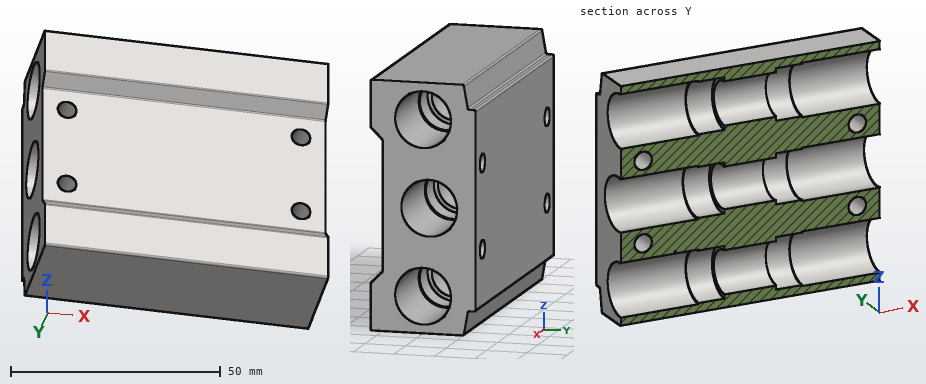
import cadquery as cq
import math

length = 69.0
depth = 26.0
height = 61.0
corner_radius = 0.5

recess_depth = 3.0
recess_floor_height = 32.0

rebate_height = 6.0
rebate_top_depth = 3.0
rebate_angle = 10.0

mouth_diameter = 13.8
mouth_depth = 20.7
seat_diameter = 13.25
seat_depth = 27.6
through_diameter = 11.2
outer_bore_z = 21.45
middle_bore_y = 1.5

cross_diameter = 4.5
cross_spacing_x = 57.0
cross_spacing_z = 21.0

front_y = -depth / 2
back_y = depth / 2
top_z = height / 2
floor_y = front_y + recess_depth
floor_z = recess_floor_height / 2
lip_z = floor_z + recess_depth
rebate_z = top_z - rebate_height
rebate_bottom_depth = rebate_top_depth - rebate_height * math.tan(math.radians(rebate_angle))


def make_block():
    """Extrude the YZ outline, symmetric about Z = 0, and round its long edges."""
    upper_half = [
        (floor_y, floor_z),
        (front_y, lip_z),
        (front_y, top_z),
        (back_y - rebate_top_depth, top_z),
        (back_y - rebate_bottom_depth, rebate_z),
        (back_y, rebate_z),
    ]
    lower_half = [(y, -z) for y, z in reversed(upper_half)]
    block = cq.Workplane("YZ").polyline(upper_half + lower_half).close().extrude(length / 2, both=True)
    return block.edges("|X").fillet(corner_radius)


def make_bore(y, z):
    """Bore cutter that steps down from both end faces to a through hole."""
    bore = cq.Workplane("YZ").center(y, z).circle(through_diameter / 2).extrude(length / 2, both=True)
    for diameter, step_depth in ((mouth_diameter, mouth_depth), (seat_diameter, seat_depth)):
        for end_x in (-length / 2, length / 2 - step_depth):
            step = cq.Workplane("YZ", origin=(end_x, y, z)).circle(diameter / 2).extrude(step_depth)
            bore = bore.union(step)
    return bore


result = make_block()

for bore_y, bore_z in ((0, outer_bore_z), (middle_bore_y, 0), (0, -outer_bore_z)):
    result = result.cut(make_bore(bore_y, bore_z))

cross_holes = (
    cq.Workplane("XZ")
    .rarray(cross_spacing_x, cross_spacing_z, 2, 2)
    .circle(cross_diameter / 2)
    .extrude(depth, both=True)
)
result = result.cut(cross_holes)